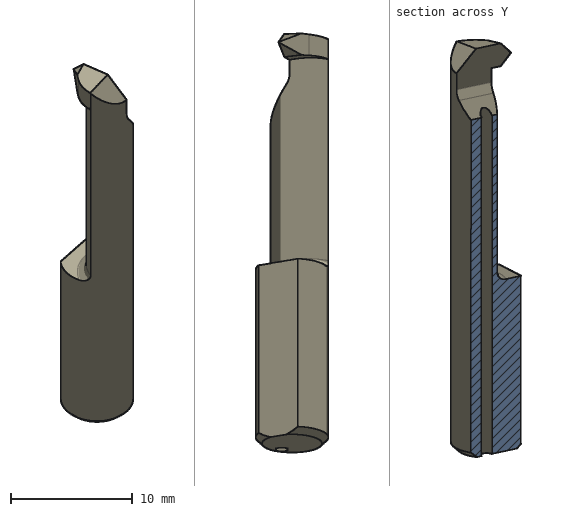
import cadquery as cq
import math

total_length = 35.0
shank_diameter = 6.0
shank_radius = shank_diameter / 2
flat_width = 5.35
flat_x = flat_width - shank_radius
shank_length = 15.0
end_chamfer = 0.52

neck_offset = 2.55
neck_fillet = 0.75

rear_cut_start = 31.8
rear_cut_angle = 40.0
rear_cut_radius = 1.33

head_height = 2.0
tip_run = 1.0
flank_end_x = -0.55
flank_end_y = -1.85
face_relief = 0.15
tip_relief_angle = 17.0
back_bevel_x = 1.1
back_bevel_drop = 1.8

hole_x = 1.0
hole_y = 1.5
hole_diameter = 1.0

clearance = 3.5
head_bottom = total_length - head_height
head_middle = total_length - head_height / 2
lens_x = neck_offset / 2
lens_y = math.sqrt(shank_radius**2 - lens_x**2)


def make_body():
    """Round bar up to the middle of the head, narrowed to the neck above the shank."""
    bar = cq.Workplane("XY").circle(shank_radius).extrude(head_middle)
    bar = bar.faces("<Z").chamfer(end_chamfer)
    flat_cut = cq.Workplane("XY").box(clearance, shank_diameter, total_length, centered=(False, True, False))
    bar = bar.cut(flat_cut.translate((-flat_x - clearance, 0, 0)))

    flare_radius = shank_radius + neck_fillet
    fillet_top = shank_length + neck_fillet
    fillet_mid = neck_fillet * (1 - math.sqrt(0.5))
    full_radius = shank_diameter + clearance
    envelope = (
        cq.Workplane("XZ")
        .lineTo(full_radius, 0)
        .lineTo(full_radius, shank_length)
        .lineTo(flare_radius, shank_length)
        .threePointArc((shank_radius + fillet_mid, shank_length + fillet_mid), (shank_radius, fillet_top))
        .lineTo(shank_radius, total_length)
        .lineTo(0, total_length)
        .close()
        .revolve(360, (0, 0, 0), (0, 1, 0))
        .translate((neck_offset, 0, 0))
    )
    return bar.intersect(envelope)


def make_rear_cut():
    """Flat on the XZ plane that runs out through an arc into a slope toward +Y."""
    angle = math.radians(rear_cut_angle)

    def arc_point(turn):
        return (rear_cut_radius * (1 - math.cos(turn)), rear_cut_start - rear_cut_radius * math.sin(turn))

    arc_end = arc_point(angle)
    outer_y = shank_radius + clearance
    slope_end_z = arc_end[1] - (outer_y - arc_end[0]) / math.tan(angle)
    return (
        cq.Workplane("YZ")
        .moveTo(0, total_length + clearance)
        .lineTo(0, rear_cut_start)
        .threePointArc(arc_point(angle / 2), arc_end)
        .lineTo(outer_y, slope_end_z)
        .lineTo(outer_y, total_length + clearance)
        .close()
        .extrude(shank_diameter, both=True)
    )


def make_head():
    """Pointed head with a straight flank, relieved top and bottom faces and a V tip."""
    arc_45 = shank_radius * math.sqrt(0.5)
    blank = (
        cq.Workplane("XY", origin=(0, 0, head_bottom))
        .moveTo(-flat_x, 0)
        .lineTo(flank_end_x, flank_end_y)
        .tangentArcPoint((lens_x, -lens_y), relative=False)
        .threePointArc((arc_45, -arc_45), (shank_radius, 0))
        .close()
        .extrude(head_height)
    )
    face_wedge = (
        cq.Workplane("YZ")
        .polyline([
            (0, head_bottom),
            (0, total_length),
            (-shank_radius, total_length - face_relief),
            (-shank_radius, head_bottom + face_relief),
        ])
        .close()
        .extrude(shank_diameter, both=True)
    )
    tip_profile = cq.Wire.makePolygon(
        [
            cq.Vector(-flat_x, 0, head_middle),
            cq.Vector(tip_run - flat_x, 0, total_length),
            cq.Vector(shank_diameter, 0, total_length),
            cq.Vector(shank_diameter, 0, head_bottom),
            cq.Vector(tip_run - flat_x, 0, head_bottom),
        ],
        close=True,
    )
    tip_shift = shank_radius * math.tan(math.radians(tip_relief_angle))
    tip_prism = cq.Solid.extrudeLinear(tip_profile, [], cq.Vector(tip_shift, -shank_radius, 0))
    return blank.intersect(face_wedge).intersect(cq.Workplane(tip_prism))


def make_back_bevel():
    """Sloping cut across the +X side of the top."""
    slope = back_bevel_drop / (shank_radius - back_bevel_x)
    return (
        cq.Workplane("XZ")
        .polyline([
            (back_bevel_x - clearance, total_length + clearance * slope),
            (back_bevel_x + clearance, total_length - clearance * slope),
            (back_bevel_x + clearance, total_length + clearance * slope),
        ])
        .close()
        .extrude(shank_diameter, both=True)
    )


coolant_hole = cq.Workplane("XY").center(hole_x, hole_y).circle(hole_diameter / 2).extrude(total_length)

result = (
    make_body()
    .cut(make_rear_cut())
    .union(make_head())
    .cut(make_back_bevel())
    .cut(coolant_hole)
)